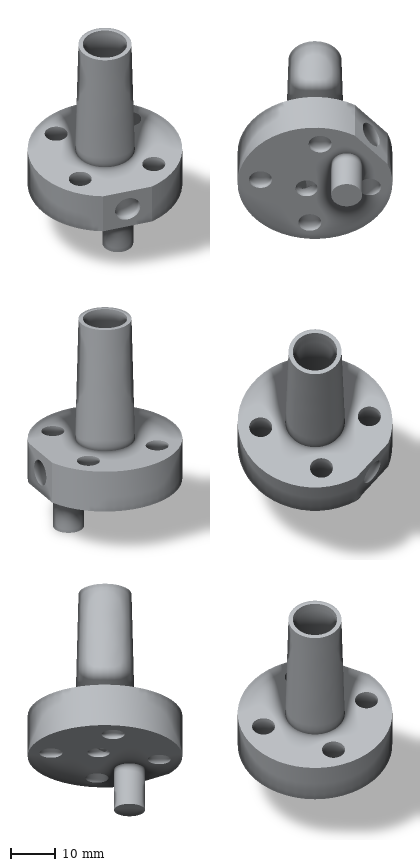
import cadquery as cq
import math

flange_diameter = 35.0
flange_thickness = 10.0
flat_distance = 16.5
screw_hole_diameter = 5.2
screw_hole_offset = 8.75

pin_diameter = 7.0
pin_length = 10.0
pin_x = 9.3

tube_base_diameter = 13.5
tube_top_diameter = 12.0
tube_height = 30.0

bore_diameter = 10.0
bore_depth = 36.0
drill_tip_angle = 118.0
channel_diameter = 6.0
outlet_diameter = 5.0
outlet_shift = 0.025

flange_bottom = pin_length
flange_top = flange_bottom + flange_thickness
tube_top = flange_top + tube_height
channel_z = flange_bottom + flange_thickness / 2
bore_radius = bore_diameter / 2
outlet_x = -outlet_diameter / 2 + outlet_shift


def cylinder_z(diameter, bottom, height, x=0, y=0):
    """Vertical cylinder standing at the given bottom height."""
    return cq.Workplane("XY", origin=(x, y, bottom)).circle(diameter / 2).extrude(height)


def make_flange():
    disc = cylinder_z(flange_diameter, flange_bottom, flange_thickness)
    beyond_flat = cq.Workplane("XY").box(
        flange_diameter, flange_diameter, flange_top, centered=(False, True, False)
    )
    flange = disc.cut(beyond_flat.translate((flat_distance, 0, 0)))
    for x_side in (-1, 1):
        for y_side in (-1, 1):
            hole = cylinder_z(
                screw_hole_diameter,
                flange_bottom,
                flange_thickness,
                x_side * screw_hole_offset,
                y_side * screw_hole_offset,
            )
            flange = flange.cut(hole)
    return flange


def make_tube():
    profile = [
        (0, flange_top),
        (tube_base_diameter / 2, flange_top),
        (tube_top_diameter / 2, tube_top),
        (0, tube_top),
    ]
    return cq.Workplane("XZ").polyline(profile).close().revolve(360, (0, 0), (0, 1))


def make_bore():
    """Bore from the tube end, finished by a conical drill tip."""
    shoulder_z = tube_top - bore_depth
    tip_z = shoulder_z - bore_radius / math.tan(math.radians(drill_tip_angle / 2))
    profile = [
        (0, tip_z),
        (bore_radius, shoulder_z),
        (bore_radius, tube_top),
        (0, tube_top),
    ]
    return cq.Workplane("XZ").polyline(profile).close().revolve(360, (0, 0), (0, 1))


def make_channel():
    """Horizontal channel from the flat to the far wall of the bore."""
    start = (-bore_radius, 0, channel_z)
    length = flat_distance + bore_radius
    return cq.Workplane("YZ", origin=start).circle(channel_diameter / 2).extrude(length)


pin = cylinder_z(pin_diameter, 0, pin_length, pin_x)
outlet = cylinder_z(outlet_diameter, flange_bottom, channel_z - flange_bottom, outlet_x)

result = make_flange().union(make_tube()).union(pin)
result = result.cut(make_bore()).cut(make_channel()).cut(outlet)